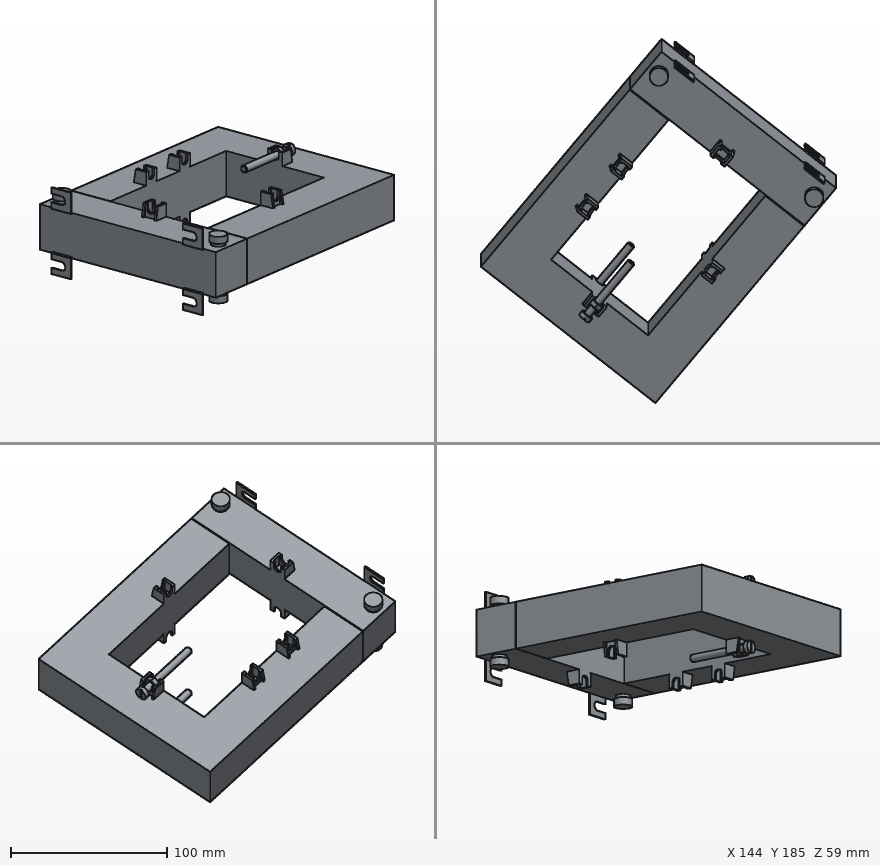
import cadquery as cq
import math

LENGTH = 185.0
WIDTH = 144.0
HEIGHT = 59.0
HALF_HEIGHT = 15.5
LIMB = 32.0
LUG_THICKNESS = 1.1
JOINT_GAP = 0.5

REAR_Y = LENGTH / 2
FRONT_Y = -LENGTH / 2 + LUG_THICKNESS
YOKE_INNER_Y = FRONT_Y + LIMB
CORE_END_Y = YOKE_INNER_Y + JOINT_GAP
WINDOW_REAR_Y = REAR_Y - LIMB
WINDOW_HALF_WIDTH = WIDTH / 2 - LIMB
WINDOW_MID_Y = (WINDOW_REAR_Y + YOKE_INNER_Y) / 2

HOLDER_HEIGHT = 9.2
HOLDER_DEPTH = 10.2
HOLDER_BOX_DEPTH = 8.5
HOLDER_END_WALL = 1.5
HOLDER_SIDE_WALL = 1.7
END_HOLDER_WIDTH = 12.0
SIDE_HOLDER_WIDTH = 11.0
SLOT_WIDTH = 6.0
SIDE_HOLDER_OFFSET = 17.2
FOOT_SINK = 0.7

AXIS_RISE = 6.0
AXIS_Z = HALF_HEIGHT + AXIS_RISE

SHAFT_DIAMETER = 5.0
SHAFT_LENGTH = 45.0
TIP_CHAMFER = 0.5
HEAD_RADIUS = 4.0
HEAD_THICKNESS = 3.3
HEAD_REAR_Y = 76.2
DRIVER_SLOT_WIDTH = 1.1
DRIVER_SLOT_DEPTH = 0.7
NUT_ACROSS_FLATS = 8.0
NUT_THICKNESS = 3.5
NUT_SETBACK = 2.0
NUT_FRONT_Y = WINDOW_REAR_Y + NUT_SETBACK

BUTTON_RADIUS = 6.0
BUTTON_TOP_Z = 22.8
BUTTON_UNDERSIDE_Z = 17.8
BUTTON_NECK_RADIUS = 4.8
BUTTON_X = 64.0
BUTTON_Y = -78.8

LUG_TOP_Z = HEIGHT / 2
LUG_HEIGHT = 15.0
LUG_WIDTH = 16.0
LUG_SPACING = 107.5
LUG_SLOT_LENGTH = 11.3
LUG_SLOT_Z = 22.4
LUG_BEVEL = 0.7


def block(x_min, x_max, y_min, y_max, z_min, z_max):
    """Axis-aligned box between the given limits."""
    size = (x_max - x_min, y_max - y_min, z_max - z_min)
    return cq.Workplane("XY").box(*size, centered=False).translate((x_min, y_min, z_min))


def mirrored_below(feature):
    """The feature together with its mirror image below Z = 0."""
    return [feature, feature.mirror("XY")]


def make_holder(width):
    """Holder opening upward; its front end is at Y = 0 and it runs toward +Y."""
    foot_z = HALF_HEIGHT - FOOT_SINK
    top_z = HALF_HEIGHT + HOLDER_HEIGHT
    side_profile = [
        (0, foot_z),
        (HOLDER_DEPTH, foot_z),
        (HOLDER_DEPTH, HALF_HEIGHT),
        (HOLDER_BOX_DEPTH, top_z),
        (0, top_z),
    ]
    inner_half = width / 2 - HOLDER_SIDE_WALL
    holder = cq.Workplane("YZ").polyline(side_profile).close().extrude(width / 2, both=True)
    cavity_end = HOLDER_BOX_DEPTH - HOLDER_END_WALL
    cavity = block(-inner_half, inner_half, HOLDER_END_WALL, cavity_end, HALF_HEIGHT, top_z)
    behind = block(-inner_half, inner_half, HOLDER_BOX_DEPTH, HOLDER_DEPTH, HALF_HEIGHT, top_z)
    slot = block(-SLOT_WIDTH / 2, SLOT_WIDTH / 2, 0, HOLDER_DEPTH, AXIS_Z, top_z)
    slot_round = (
        cq.Workplane("XZ").center(0, AXIS_Z).circle(SLOT_WIDTH / 2).extrude(-HOLDER_DEPTH)
    )
    return holder.cut(cavity).cut(behind).cut(slot).cut(slot_round)


def place_holder(width, x, y, turn):
    """Holder turned about Z, its front end at the window edge point (x, y)."""
    return make_holder(width).rotate((0, 0, 0), (0, 0, 1), turn).translate((x, y, 0))


def make_button(x):
    """Round button on a narrower neck."""
    head = (
        cq.Workplane("XY", origin=(x, BUTTON_Y, BUTTON_UNDERSIDE_Z))
        .circle(BUTTON_RADIUS)
        .extrude(BUTTON_TOP_Z - BUTTON_UNDERSIDE_Z)
    )
    neck_foot_z = HALF_HEIGHT - FOOT_SINK
    neck = (
        cq.Workplane("XY", origin=(x, BUTTON_Y, neck_foot_z))
        .circle(BUTTON_NECK_RADIUS)
        .extrude(BUTTON_UNDERSIDE_Z - neck_foot_z)
    )
    return head.union(neck)


def make_lug(centre_x):
    """Flat lug with a slot open toward -X and a sloping lower edge."""
    bottom_z = LUG_TOP_Z - LUG_HEIGHT
    left_x = centre_x - LUG_WIDTH / 2
    front_y = FRONT_Y - LUG_THICKNESS
    section = [
        (FRONT_Y, bottom_z),
        (FRONT_Y, LUG_TOP_Z),
        (front_y, LUG_TOP_Z),
        (front_y, bottom_z + LUG_BEVEL),
    ]
    plate = (
        cq.Workplane("YZ", origin=(left_x, 0, 0)).polyline(section).close().extrude(LUG_WIDTH)
    )
    round_x = left_x + LUG_SLOT_LENGTH - SLOT_WIDTH / 2
    low_z = LUG_SLOT_Z - SLOT_WIDTH / 2
    high_z = LUG_SLOT_Z + SLOT_WIDTH / 2
    slot = (
        cq.Workplane("XZ", origin=(0, FRONT_Y, 0))
        .moveTo(left_x, low_z)
        .lineTo(round_x, low_z)
        .threePointArc((left_x + LUG_SLOT_LENGTH, LUG_SLOT_Z), (round_x, high_z))
        .lineTo(left_x, high_z)
        .close()
        .extrude(LUG_THICKNESS)
    )
    return plate.cut(slot)


def make_core():
    """U-shaped core with one holder on the rear limb, two on the left and one on the right."""
    half_width = WIDTH / 2
    core = block(-half_width, half_width, CORE_END_Y, REAR_Y, -HALF_HEIGHT, HALF_HEIGHT)
    window = block(
        -WINDOW_HALF_WIDTH, WINDOW_HALF_WIDTH, CORE_END_Y, WINDOW_REAR_Y, -HALF_HEIGHT, HALF_HEIGHT
    )
    core = core.cut(window)
    holders = [
        place_holder(END_HOLDER_WIDTH, 0, WINDOW_REAR_Y, 0),
        place_holder(SIDE_HOLDER_WIDTH, WINDOW_HALF_WIDTH, WINDOW_MID_Y, -90),
    ]
    for offset in (-SIDE_HOLDER_OFFSET, SIDE_HOLDER_OFFSET):
        holders.append(
            place_holder(SIDE_HOLDER_WIDTH, -WINDOW_HALF_WIDTH, WINDOW_MID_Y + offset, 90)
        )
    for holder in holders:
        for copy in mirrored_below(holder):
            core = core.union(copy)
    return core


def make_yoke():
    """Straight yoke with a holder, two buttons and two lugs on each side of Z = 0."""
    half_width = WIDTH / 2
    yoke = block(-half_width, half_width, FRONT_Y, YOKE_INNER_Y, -HALF_HEIGHT, HALF_HEIGHT)
    features = [place_holder(END_HOLDER_WIDTH, 0, YOKE_INNER_Y, 180)]
    for side in (-1, 1):
        features.append(make_button(side * BUTTON_X))
        features.append(make_lug(side * LUG_SPACING / 2))
    for feature in features:
        for copy in mirrored_below(feature):
            yoke = yoke.union(copy)
    return yoke


def make_screw():
    """Slotted cylinder-head screw with its nut, lying along Y in the upper rear holder."""
    seat_y = HEAD_REAR_Y - HEAD_THICKNESS
    head = (
        cq.Workplane("XZ", origin=(0, HEAD_REAR_Y, AXIS_Z))
        .circle(HEAD_RADIUS)
        .extrude(HEAD_THICKNESS)
    )
    driver_slot = block(
        -DRIVER_SLOT_WIDTH / 2,
        DRIVER_SLOT_WIDTH / 2,
        HEAD_REAR_Y - DRIVER_SLOT_DEPTH,
        HEAD_REAR_Y,
        AXIS_Z - HEAD_RADIUS,
        AXIS_Z + HEAD_RADIUS,
    )
    shaft = (
        cq.Workplane("XZ", origin=(0, seat_y, AXIS_Z))
        .circle(SHAFT_DIAMETER / 2)
        .extrude(SHAFT_LENGTH)
        .faces("<Y")
        .chamfer(TIP_CHAMFER)
    )
    across_corners = NUT_ACROSS_FLATS / math.cos(math.pi / 6)
    nut = (
        cq.Workplane("XZ", origin=(0, NUT_FRONT_Y, AXIS_Z))
        .transformed(rotate=(0, 0, 90))
        .polygon(6, across_corners)
        .extrude(-NUT_THICKNESS)
    )
    return head.cut(driver_slot).union(shaft).union(nut)


core = make_core()
yoke = make_yoke()
screws = mirrored_below(make_screw())

result = cq.Compound.makeCompound([core.val(), yoke.val(), *[screw.val() for screw in screws]])